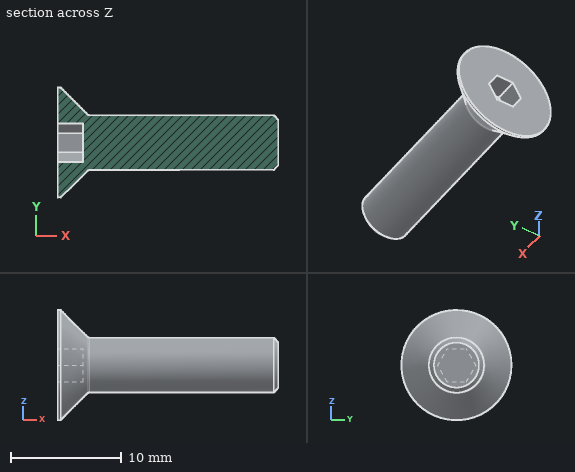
import cadquery as cq
import math

length = 20.0
head_diameter = 10.0
shank_diameter = 5.0
rim_thickness = 0.28
neck_fillet_radius = 0.15
tip_chamfer_length = 0.4
tip_chamfer_depth = 0.45
socket_across_flats = 3.0
socket_depth = 2.3

head_radius = head_diameter / 2
shank_radius = shank_diameter / 2
head_height = rim_thickness + head_radius - shank_radius


def make_body():
    """Revolve the half profile of head, shank and chamfered tip about X."""
    profile = [
        (0, 0),
        (0, head_radius),
        (rim_thickness, head_radius),
        (head_height, shank_radius),
        (length - tip_chamfer_length, shank_radius),
        (length, shank_radius - tip_chamfer_depth),
        (length, 0),
    ]
    body = cq.Workplane("XY").polyline(profile).close().revolve(360, (0, 0, 0), (1, 0, 0))
    neck_edge = cq.selectors.RadiusNthSelector(1)
    return body.edges("%CIRCLE").edges(neck_edge).edges("<X").fillet(neck_fillet_radius)


def make_socket():
    """Blind hexagon along X, with two corners pointing along Y."""
    across_corners = socket_across_flats / math.cos(math.pi / 6)
    return cq.Workplane("YZ").polygon(6, across_corners).extrude(socket_depth)


result = make_body().cut(make_socket())